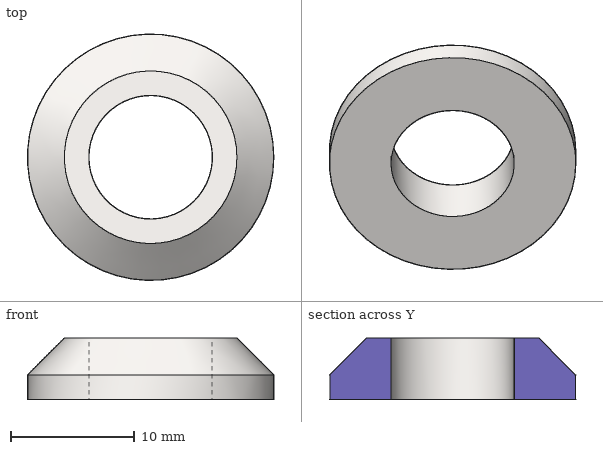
import cadquery as cq

outer_diameter = 20.0
bore_diameter = 10.0
height = 5.0
chamfer_size = 3.0

disc = cq.Workplane("XY").circle(outer_diameter / 2).extrude(height)

bevelled_disc = disc.faces(">Z").edges().chamfer(chamfer_size)

result = bevelled_disc.faces("<Z").workplane().hole(bore_diameter)